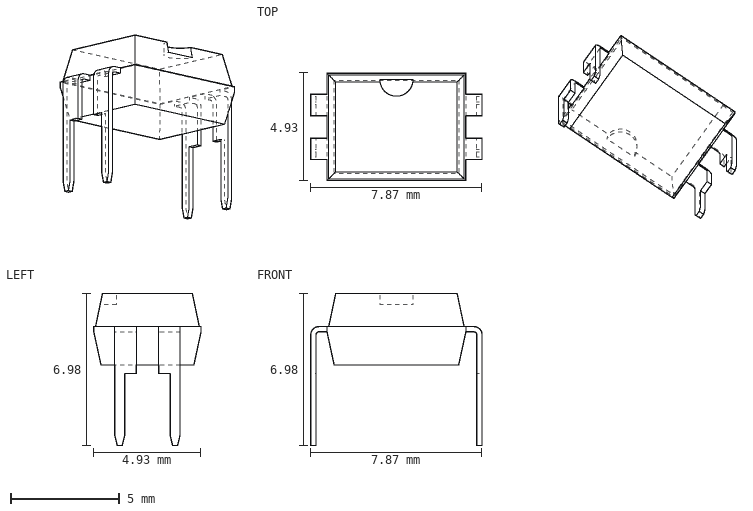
import cadquery as cq


row_spacing = 7.62
lead_thickness = 0.25
lead_pitch = 2.54
pin_width = 0.46
shoulder_width = 0.99
bend_inner_radius = 0.13
pin_length = 3.3
tip_length = 0.46
tip_width = 0.24

flange_length = 6.38
flange_width = 4.93
flange_thickness = lead_thickness
flange_top_z = 2.16
half_height = 1.52
flange_ledge = 0.08
upper_draft = 0.32
lower_draft = 0.33

notch_radius = 0.76
notch_depth = 0.5

flange_bottom_z = flange_top_z - flange_thickness
body_top_z = flange_top_z + half_height


def tapered_block(length, width, base_z, tip_z, draft):
    """Block whose four walls lean inward by `draft` from base_z to tip_z."""
    return (
        cq.Workplane("XY", origin=(0, 0, base_z))
        .rect(length, width)
        .workplane(offset=tip_z - base_z)
        .rect(length - 2 * draft, width - 2 * draft)
        .loft(ruled=True)
    )


def make_body():
    upper_length = flange_length - 2 * flange_ledge
    upper_width = flange_width - 2 * flange_ledge
    upper = tapered_block(upper_length, upper_width, flange_top_z, body_top_z, upper_draft)
    flange = cq.Workplane("XY", origin=(0, 0, flange_bottom_z)).rect(flange_length, flange_width)
    flange = flange.extrude(flange_thickness)
    lower_tip_z = flange_bottom_z - half_height
    lower = tapered_block(flange_length, flange_width, flange_bottom_z, lower_tip_z, lower_draft)
    return flange.union(upper).union(lower)


def make_notch():
    """Round pocket in the top, centred where its floor meets the sloping +Y wall."""
    wall_run_at_floor = upper_draft * (half_height - notch_depth) / half_height
    center_y = flange_width / 2 - flange_ledge - wall_run_at_floor
    return (
        cq.Workplane("XY", origin=(0, center_y, body_top_z - notch_depth))
        .circle(notch_radius)
        .extrude(notch_depth)
    )


def make_lead():
    """Bent lead on the +X side whose pin lies on the +Y side."""
    outer_x = (row_spacing + lead_thickness) / 2
    inner_x = outer_x - lead_thickness
    root_x = flange_length / 2 - lead_thickness
    outer_edge_y = (lead_pitch + pin_width) / 2
    inner_edge_y = outer_edge_y - shoulder_width
    pin_center_y = lead_pitch / 2
    pin_inner_y = outer_edge_y - pin_width
    tip_start_z = tip_length - pin_length

    strip = (
        cq.Workplane("XZ", origin=(0, outer_edge_y, 0))
        .moveTo(root_x, flange_top_z)
        .lineTo(outer_x, flange_top_z)
        .lineTo(outer_x, -pin_length)
        .lineTo(inner_x, -pin_length)
        .lineTo(inner_x, flange_bottom_z)
        .lineTo(root_x, flange_bottom_z)
        .close()
        .extrude(shoulder_width)
    )
    outer_corner = cq.selectors.NearestToPointSelector((outer_x, pin_center_y, flange_top_z))
    inner_corner = cq.selectors.NearestToPointSelector((inner_x, pin_center_y, flange_bottom_z))
    strip = strip.edges("|Y").edges(outer_corner).fillet(bend_inner_radius + lead_thickness)
    strip = strip.edges("|Y").edges(inner_corner).fillet(bend_inner_radius)

    silhouette = (
        cq.Workplane("YZ")
        .moveTo(outer_edge_y, flange_top_z)
        .lineTo(outer_edge_y, tip_start_z)
        .lineTo(pin_center_y + tip_width / 2, -pin_length)
        .lineTo(pin_center_y - tip_width / 2, -pin_length)
        .lineTo(pin_inner_y, tip_start_z)
        .lineTo(pin_inner_y, 0)
        .lineTo(inner_edge_y, 0)
        .lineTo(inner_edge_y, flange_top_z)
        .close()
        .extrude(outer_x)
    )
    return strip.intersect(silhouette)


result = make_body().cut(make_notch())

lead = make_lead()
lead_pair = lead.union(lead.mirror("XZ"))
for row in (lead_pair, lead_pair.mirror("YZ")):
    result = result.union(row)